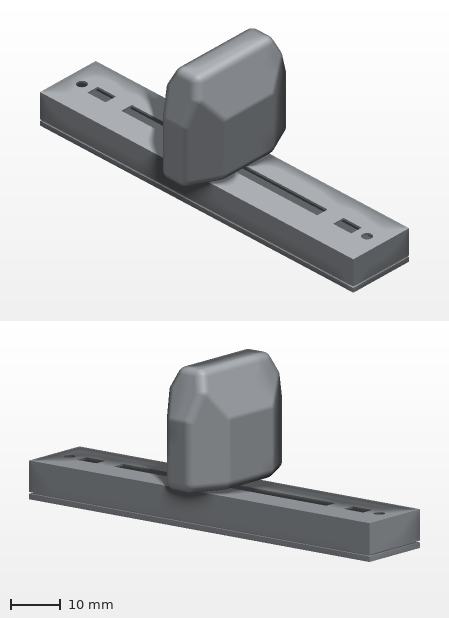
import cadquery as cq

RAIL_LENGTH = 88.0
RAIL_WIDTH = 16.0
RAIL_HEIGHT = 8.0
PLATE_THICKNESS = 1.1
COVER_CLEARANCE = 0.35
WALL_THICKNESS = 0.5
COVER_BOTTOM = PLATE_THICKNESS + COVER_CLEARANCE

SLOT_LENGTH = 55.0
SLOT_WIDTH = 3.0
WINDOW_LENGTH = 5.1
WINDOW_OFFSET = 34.5
HOLE_DIAMETER = 2.4
HOLE_OFFSET = 40.0

KNOB_LENGTH = 14.0
KNOB_WIDTH = 30.0
KNOB_HEIGHT = 25.0
KNOB_CLEARANCE = 1.0
TAPER_INSET = 4.0
CORNER_CUT_X = TAPER_INSET
CORNER_CUT_Y = 8.0
TAPER_HEIGHT = 10.0
KNOB_FILLET = 2.0


def make_plate():
    """Flat base plate under the cover."""
    return cq.Workplane("XY").box(RAIL_LENGTH, RAIL_WIDTH, PLATE_THICKNESS, centered=(True, True, False))


def make_cover():
    """Box shell with four walls and a lid, pierced by the slot, windows and holes."""
    outside_height = RAIL_HEIGHT - COVER_BOTTOM
    base = cq.Workplane("XY", origin=(0, 0, COVER_BOTTOM))
    shell = base.box(RAIL_LENGTH, RAIL_WIDTH, outside_height, centered=(True, True, False))
    cavity = base.box(
        RAIL_LENGTH - 2 * WALL_THICKNESS,
        RAIL_WIDTH - 2 * WALL_THICKNESS,
        outside_height - WALL_THICKNESS,
        centered=(True, True, False),
    )

    lid_top = cq.Workplane("XY", origin=(0, 0, RAIL_HEIGHT))
    slot = lid_top.rect(SLOT_LENGTH, SLOT_WIDTH).extrude(-WALL_THICKNESS)
    windows = (
        lid_top.pushPoints([(-WINDOW_OFFSET, 0), (WINDOW_OFFSET, 0)])
        .rect(WINDOW_LENGTH, SLOT_WIDTH)
        .extrude(-WALL_THICKNESS)
    )
    holes = (
        lid_top.pushPoints([(-HOLE_OFFSET, 0), (HOLE_OFFSET, 0)])
        .circle(HOLE_DIAMETER / 2)
        .extrude(-WALL_THICKNESS)
    )
    return shell.cut(cavity).cut(slot).cut(windows).cut(holes)


def tapered_profile(plane, width):
    """Closed outline: upright sides that lean inwards over the top taper height."""
    shoulder = KNOB_HEIGHT - TAPER_HEIGHT
    return cq.Workplane(plane).polyline(
        [
            (-width / 2, 0),
            (width / 2, 0),
            (width / 2, shoulder),
            (width / 2 - TAPER_INSET, KNOB_HEIGHT),
            (-width / 2 + TAPER_INSET, KNOB_HEIGHT),
            (-width / 2, shoulder),
        ]
    ).close()


def make_knob():
    """Eight-sided block, tapered on all four sides towards the top, with every edge rounded."""
    half_x = KNOB_LENGTH / 2
    half_y = KNOB_WIDTH / 2
    inner_x = half_x - CORNER_CUT_X
    inner_y = half_y - CORNER_CUT_Y
    plan = [
        (half_x, -inner_y),
        (half_x, inner_y),
        (inner_x, half_y),
        (-inner_x, half_y),
        (-half_x, inner_y),
        (-half_x, -inner_y),
        (-inner_x, -half_y),
        (inner_x, -half_y),
    ]
    knob = cq.Workplane("XY").polyline(plan).close().extrude(KNOB_HEIGHT)
    knob = knob.intersect(tapered_profile("XZ", KNOB_LENGTH).extrude(half_y, both=True))
    knob = knob.intersect(tapered_profile("YZ", KNOB_WIDTH).extrude(half_x, both=True))
    knob = knob.edges().fillet(KNOB_FILLET)
    return knob.translate((0, 0, RAIL_HEIGHT + KNOB_CLEARANCE))


plate = make_plate()
cover = make_cover()
knob = make_knob()
result = cq.Compound.makeCompound([plate.val(), cover.val(), knob.val()])